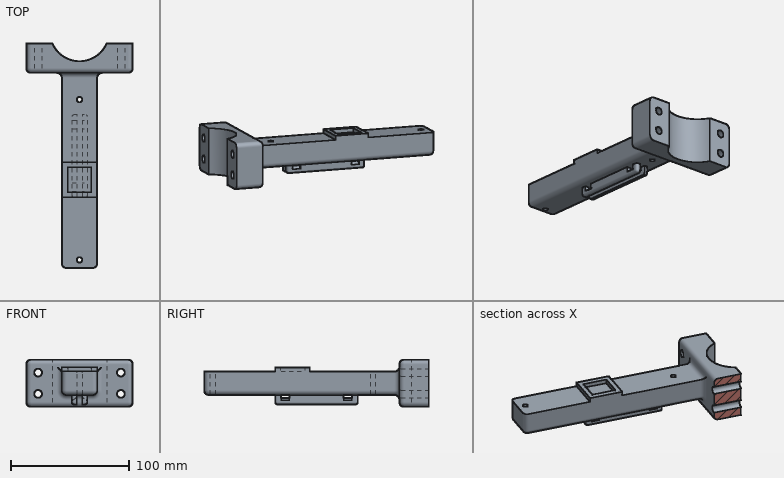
import cadquery as cq

PLATE_WIDTH = 90.0
PLATE_DEPTH = 25.0
PLATE_HEIGHT = 40.0
EDGE_RADIUS = 4.0

SADDLE_RADIUS = 25.0
SADDLE_DEPTH = 15.0

SCREW_DIAMETER = 6.4
SCREW_SPACING_X = 70.0
SCREW_SPACING_Z = 18.0

OVERALL_LENGTH = 190.0
ARM_WIDTH = 30.0
ARM_HEIGHT = 20.0
ARM_HOLE_DIAMETER = 4.4
ARM_HOLE_DISTANCES = (47.5, 183.0)
MOUNT_FRONT = -130.0

PAD_LENGTH = 29.5
PAD_HEIGHT = 3.5
POCKET_WIDTH = 20.0
POCKET_LENGTH = 21.0

RAIL_LENGTH = 70.0
RAIL_HEIGHT = 8.0
RAIL_PAIR_WIDTH = 13.0
RAIL_GAP = 5.0
RAIL_EDGE_RADIUS = 2.0

WINDOW_LENGTH = 7.0
WINDOW_END_MARGIN = 5.0
WINDOW_CLEARANCE = 2.0
ARCH_RADIUS = 10.0

ARM_TOP = ARM_HEIGHT / 2
ARM_BOTTOM = -ARM_HEIGHT / 2
ARM_LENGTH = OVERALL_LENGTH - PLATE_DEPTH
ARM_CENTRE = -PLATE_DEPTH - ARM_LENGTH / 2
PLATE_FRONT = -PLATE_DEPTH
PAD_CENTRE = MOUNT_FRONT + PAD_LENGTH / 2
RAIL_CENTRE = MOUNT_FRONT + RAIL_LENGTH / 2


def box(width, length, height, centre_y, bottom_z):
    """Block centred on X, standing on bottom_z."""
    return (
        cq.Workplane("XY", origin=(0, centre_y, bottom_z))
        .box(width, length, height, centered=(True, True, False))
    )


def make_plate():
    """Block rounded everywhere except around its back face."""
    plate = box(PLATE_WIDTH, PLATE_DEPTH, PLATE_HEIGHT, PLATE_FRONT / 2, -PLATE_HEIGHT / 2)
    return plate.edges("|Y or <Y").fillet(EDGE_RADIUS)


def make_arm():
    """Bar with rounded lower edges and end corners and a sharp-edged top face."""
    arm = box(ARM_WIDTH, ARM_LENGTH, ARM_HEIGHT, ARM_CENTRE, ARM_BOTTOM)
    end_corners = arm.edges("|Z and <Y")
    lower_edges = arm.faces("<Z").edges("|Y or <Y")
    return arm.newObject(end_corners.vals() + lower_edges.vals()).fillet(EDGE_RADIUS)


def round_arm_root(body):
    """Concave fillet all round the joint between arm and plate."""
    margin = 1.0
    root_box = cq.selectors.BoxSelector(
        (-ARM_WIDTH / 2 - margin, PLATE_FRONT - margin, ARM_BOTTOM - margin),
        (ARM_WIDTH / 2 + margin, PLATE_FRONT + margin, ARM_TOP + margin),
        boundingbox=True,
    )
    return body.edges(root_box).fillet(EDGE_RADIUS)


def make_pad():
    """Square-cornered frame around a pocket whose floor is the top of the arm."""
    pad = box(ARM_WIDTH, PAD_LENGTH, PAD_HEIGHT, PAD_CENTRE, ARM_TOP)
    return pad.cut(box(POCKET_WIDTH, POCKET_LENGTH, PAD_HEIGHT, PAD_CENTRE, ARM_TOP))


def make_window(centre_y):
    """Cutter from the arm's underside down to an arched floor."""
    window = box(RAIL_PAIR_WIDTH, WINDOW_LENGTH, RAIL_HEIGHT, centre_y, ARM_BOTTOM - RAIL_HEIGHT)
    crown = ARM_BOTTOM - WINDOW_CLEARANCE
    arch = (
        cq.Workplane("XZ", origin=(0, centre_y, crown - ARCH_RADIUS))
        .circle(ARCH_RADIUS)
        .extrude(WINDOW_LENGTH / 2, both=True)
    )
    return window.cut(arch)


def make_rails():
    """Rounded block split lengthwise into two rails, each with two strap windows."""
    rail_bottom = ARM_BOTTOM - RAIL_HEIGHT
    rails = box(RAIL_PAIR_WIDTH, RAIL_LENGTH, RAIL_HEIGHT, RAIL_CENTRE, rail_bottom)
    rails = rails.edges("|Z or <Z").fillet(RAIL_EDGE_RADIUS)
    rails = rails.cut(box(RAIL_GAP, RAIL_LENGTH, RAIL_HEIGHT, RAIL_CENTRE, rail_bottom))
    window_offset = RAIL_LENGTH / 2 - WINDOW_END_MARGIN - WINDOW_LENGTH / 2
    for side in (-1, 1):
        rails = rails.cut(make_window(RAIL_CENTRE + side * window_offset))
    return rails


def cut_saddle(body):
    """Upright round recess through the back of the plate."""
    saddle = (
        cq.Workplane("XY", origin=(0, SADDLE_RADIUS - SADDLE_DEPTH, -PLATE_HEIGHT / 2))
        .circle(SADDLE_RADIUS)
        .extrude(PLATE_HEIGHT)
    )
    return body.cut(saddle)


def cut_screw_holes(body):
    """Four holes from the front of the plate to its back."""
    holes = (
        cq.Workplane("XZ")
        .rarray(SCREW_SPACING_X, SCREW_SPACING_Z, 2, 2)
        .circle(SCREW_DIAMETER / 2)
        .extrude(PLATE_DEPTH)
    )
    return body.cut(holes)


def cut_arm_holes(body):
    """Upright holes through the arm."""
    holes = (
        cq.Workplane("XY", origin=(0, 0, ARM_BOTTOM))
        .pushPoints([(0, -distance) for distance in ARM_HOLE_DISTANCES])
        .circle(ARM_HOLE_DIAMETER / 2)
        .extrude(ARM_HEIGHT)
    )
    return body.cut(holes)


body = round_arm_root(make_plate().union(make_arm()))
body = body.union(make_pad()).union(make_rails())
body = cut_saddle(body)
body = cut_screw_holes(body)
result = cut_arm_holes(body)